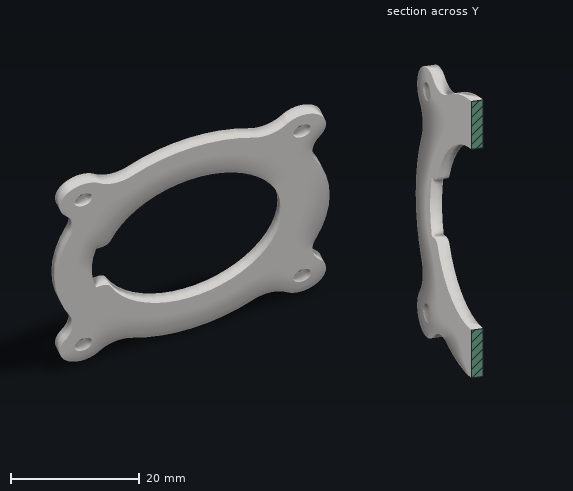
import cadquery as cq
import math

thickness = 2.0

ring_radius = 23.0
bore_radius = 15.0

ear_count = 4
ear_circle_radius = 26.0
ear_radius = 4.0
ear_blend_radius = 5.0
screw_hole_radius = 1.5

notch_radius = 17.0
notch_width = 9.8
notch_corner_radius = 1.5


def disc(radius):
    """Disc of plate thickness, centred on the X axis."""
    return cq.Workplane("YZ").circle(radius).extrude(thickness)


def ear_discs(radius):
    """Discs of plate thickness at the ear centres, the first one at 45 degrees."""
    start_angle = 180 / ear_count
    ears = cq.Workplane("YZ").polarArray(ear_circle_radius, start_angle, 360, ear_count)
    return ears.circle(radius).extrude(thickness)


def fillet_corners(body, corners, radius):
    """Round the edges along X that pass through the given (Y, Z) points."""
    middle = thickness / 2
    for y, z in corners:
        body = body.edges(cq.selectors.NearestToPointSelector((middle, y, z))).fillet(radius)
    return body


def ear_corners():
    """Points where the ear circles cross the rim, found with the law of cosines."""
    cosine = (ring_radius**2 + ear_circle_radius**2 - ear_radius**2) / (2 * ring_radius * ear_circle_radius)
    half_span = math.acos(cosine)
    pitch = 2 * math.pi / ear_count
    corners = []
    for index in range(ear_count):
        ear_angle = pitch * (index + 0.5)
        for angle in (ear_angle - half_span, ear_angle + half_span):
            corners.append((ring_radius * math.cos(angle), ring_radius * math.sin(angle)))
    return corners


def plate():
    """Round plate whose ears blend into the rim through concave fillets."""
    body = disc(ring_radius).union(ear_discs(ear_radius))
    return fillet_corners(body, ear_corners(), ear_blend_radius)


def notch():
    """Straight-sided slot from the axis towards -Y, ending on an arc about the axis."""
    slot = (
        cq.Workplane("YZ")
        .center(-notch_radius / 2, 0)
        .rect(notch_radius, notch_width)
        .extrude(thickness)
    )
    return slot.intersect(disc(notch_radius))


def notch_corners():
    """Points where the notch sides meet the bore."""
    half_width = notch_width / 2
    y = -math.sqrt(bore_radius**2 - half_width**2)
    return [(y, half_width), (y, -half_width)]


body = plate().cut(disc(bore_radius)).cut(notch())
body = fillet_corners(body, notch_corners(), notch_corner_radius)
result = body.cut(ear_discs(screw_hole_radius))